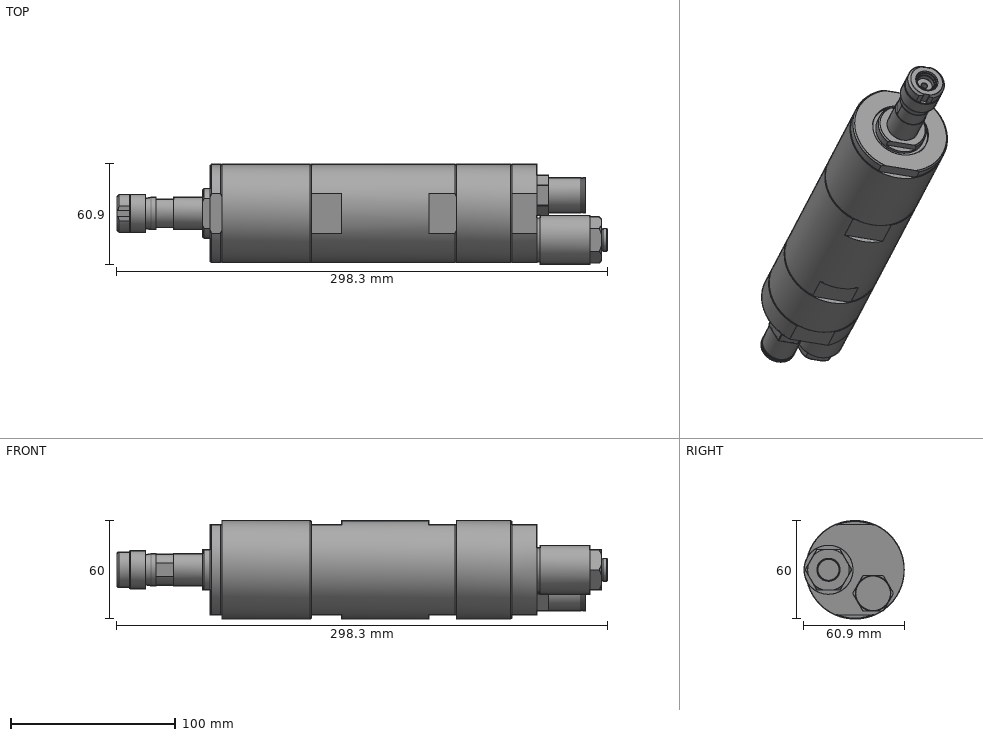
import cadquery as cq
import math


housing_radius = 60.0 / 2
housing_front = 56.7
housing_rear = 255.3
front_edge_chamfer = 1.0
flat_height = 27.5
flat_sections = [(housing_front, 63.8), (118.5, 136.5), (189.7, 206.5), (240.0, housing_rear)]
joint_ends = [63.8, 118.5, 206.5, 240.0]
joint_width = 1.0
joint_depth = 0.5
recess_radius = 17.5
recess_depth = 1.8

flange_front = 52.2
flange_radius = 15.2
flange_chamfer = 1.0
flange_flat_height = 12.2
shaft_radius = 19.7 / 2
shaft_front = 21.0
collar_taper = 0.5
spanner_start = 24.0
spanner_end = 34.5
spanner_radius = 19.0 / 2
spanner_flat_offset = 8.6

nut_radius = 23.3 / 2
nut_end = 17.5
nut_face_radius = 10.0
nut_chamfer_length = 1.5
nut_flat_height = 21.5 / 2
nut_flat_end = 7.8
nut_groove_width = 0.5
nut_groove_depth = 0.3
nut_slot_width = 3.5
nut_slot_depth = 1.0

bore_mouth = (0.0, 1.0, 14.0 / 2, 13.0 / 2)
bore_step = (1.0, 1.5, 12.0 / 2, 11.3 / 2)
bore_main = (2.5, 3.0, 10.5 / 2, 10.0 / 2)
collet_lead_in = (5.5, 0.3, 4.0 / 2, 3.5 / 2)
collet_hole = (5.7, 18.0, 3.5 / 2, 3.5 / 2)

inlet_y = -16.0
inlet_z = 0.0
inlet_radius = 29.8 / 2
inlet_neck_radius = 13.5
inlet_neck_end = 257.5
inlet_end = 287.5
inlet_hex_across_flats = 24.5
inlet_hex_end = 294.7
inlet_hex_chamfer = 1.5
button_neck_radius = 13.0 / 2
button_neck_end = 295.5
button_radius = 14.0 / 2
button_end = 298.3
button_chamfer = 0.5

outlet_y = 11.0
outlet_z = -14.3
outlet_radius = 21.5 / 2
outlet_hex_across_flats = 21.5
outlet_hex_corner_radius = 12.2
outlet_hex_end = 262.5
outlet_end = 284.8
outlet_groove_start = 282.2
outlet_groove_end = 283.5
outlet_groove_depth = 0.3


def cone(start, length, front_radius, rear_radius):
    """Solid of revolution about the X axis with straight sides."""
    profile = [(start, 0), (start, front_radius), (start + length, rear_radius), (start + length, 0)]
    return cq.Workplane("XY").polyline(profile).close().revolve(360, (0, 0, 0), (1, 0, 0))


def rod(start, end, radius, y=0.0, z=0.0):
    """Cylinder parallel to X."""
    return cone(start, end - start, radius, radius).translate((0, y, z))


def ring_groove(start, end, radius, depth):
    """Square-section ring that cuts a groove into a rod of the given radius."""
    return rod(start, end, radius + depth).cut(rod(start, end, radius - depth))


def hexagon(start, end, across_flats, y, z):
    """Hexagonal prism along X with flats facing +Z and -Z."""
    corner_diameter = across_flats / math.cos(math.pi / 6)
    prism = cq.Workplane("YZ").polygon(6, corner_diameter).extrude(end - start)
    return prism.translate((start, y, z))


def slab(start, end, half_y, half_z):
    """Box centred on the X axis."""
    box = cq.Workplane("XY").box(end - start, 2 * half_y, 2 * half_z)
    return box.translate(((start + end) / 2, 0, 0))


def make_housing():
    housing = rod(housing_front, housing_rear, housing_radius)
    housing = housing.faces("<X").chamfer(front_edge_chamfer)
    envelope = 2 * housing_radius
    for start, end in flat_sections:
        outside = slab(start, end, envelope, envelope)
        housing = housing.cut(outside.cut(slab(start, end, envelope, flat_height)))
    for end in joint_ends:
        start = end - joint_width
        core = cone(start, joint_width, housing_radius, housing_radius - joint_depth)
        housing = housing.cut(rod(start, end, envelope).cut(core))
    return housing.cut(rod(housing_front, housing_front + recess_depth, recess_radius))


def make_shaft():
    flange = rod(flange_front, housing_front, flange_radius)
    flange = flange.faces("<X").chamfer(flange_chamfer)
    flange = flange.intersect(slab(flange_front, housing_front, flange_radius, flange_flat_height))
    flange = flange.union(rod(housing_front, housing_front + recess_depth, flange_radius))
    collar = cone(nut_end, shaft_front - nut_end, shaft_radius - collar_taper, shaft_radius)
    spanner = rod(spanner_start, spanner_end, spanner_radius)
    spanner = spanner.intersect(slab(spanner_start, spanner_end, spanner_flat_offset, shaft_radius))
    shaft = rod(shaft_front, spanner_start, shaft_radius).union(spanner)
    shaft = shaft.union(rod(spanner_end, flange_front, shaft_radius))
    return shaft.union(collar).union(flange)


def make_nut():
    front = cone(0, nut_chamfer_length, nut_face_radius, nut_radius)
    front = front.union(rod(nut_chamfer_length, nut_flat_end, nut_radius))
    front = front.intersect(slab(0, nut_flat_end, nut_radius, nut_flat_height))
    slot_floor = nut_flat_height - nut_slot_depth
    slots = slab(0, nut_flat_end, nut_slot_width / 2, nut_radius)
    front = front.cut(slots.cut(slab(0, nut_flat_end, nut_slot_width, slot_floor)))
    nut = front.union(rod(nut_flat_end, nut_end, nut_radius))
    groove_end = nut_flat_end + nut_groove_width
    return nut.cut(ring_groove(nut_flat_end, groove_end, nut_radius, nut_groove_depth))


def make_inlet():
    neck = rod(housing_rear, inlet_neck_end, inlet_neck_radius, inlet_y, inlet_z)
    barrel = rod(inlet_neck_end, inlet_end, inlet_radius, inlet_y, inlet_z)
    corner_radius = inlet_hex_across_flats / 2 / math.cos(math.pi / 6)
    rounded_end = rod(inlet_end, inlet_hex_end, corner_radius, inlet_y, inlet_z)
    rounded_end = rounded_end.faces(">X").chamfer(inlet_hex_chamfer)
    nut = hexagon(inlet_end, inlet_hex_end, inlet_hex_across_flats, inlet_y, inlet_z)
    button = rod(button_neck_end, button_end, button_radius, inlet_y, inlet_z)
    button = button.faces(">X").chamfer(button_chamfer)
    button_neck = rod(inlet_hex_end, button_neck_end, button_neck_radius, inlet_y, inlet_z)
    return neck.union(barrel).union(nut.intersect(rounded_end)).union(button_neck).union(button)


def make_outlet():
    nut = hexagon(housing_rear, outlet_hex_end, outlet_hex_across_flats, outlet_y, outlet_z)
    nut = nut.intersect(rod(housing_rear, outlet_hex_end, outlet_hex_corner_radius, outlet_y, outlet_z))
    barrel = rod(outlet_hex_end, outlet_end, outlet_radius, outlet_y, outlet_z)
    groove = ring_groove(outlet_groove_start, outlet_groove_end, outlet_radius, outlet_groove_depth)
    return nut.union(barrel.cut(groove.translate((0, outlet_y, outlet_z))))


result = make_housing().union(make_shaft()).union(make_nut())
result = result.union(make_inlet()).union(make_outlet())
for bore in (bore_mouth, bore_step, bore_main, collet_lead_in, collet_hole):
    result = result.cut(cone(*bore))